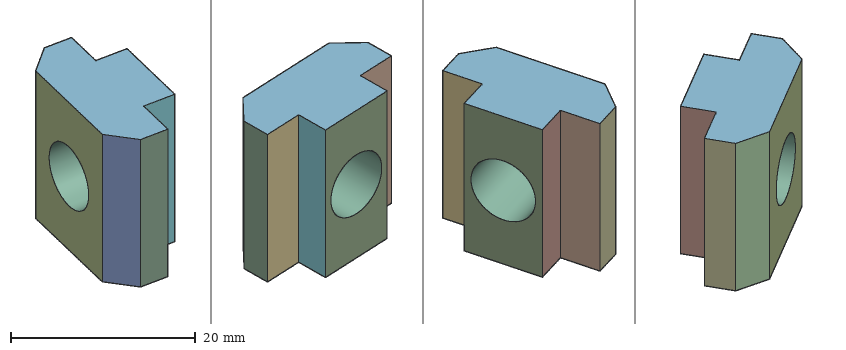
import cadquery as cq

length = 20.0
flange_width = 19.5
total_depth = 10.5
neck_width = 9.7
neck_depth = 4.0
chamfer = 3.0
hole_diameter = 8.0

flange_depth = total_depth - neck_depth


def centred_block(width, depth, front_y):
    """Full-length block centred on X and Z, with its front face at front_y."""
    return (
        cq.Workplane("XY")
        .box(width, depth, length, centered=(True, False, True))
        .translate((0, front_y, 0))
    )


flange = centred_block(flange_width, flange_depth, 0).faces("<Y").edges("|Z").chamfer(chamfer)

neck = centred_block(neck_width, neck_depth, flange_depth)

hole = cq.Workplane("XZ").circle(hole_diameter / 2).extrude(-total_depth)

result = flange.union(neck).cut(hole)